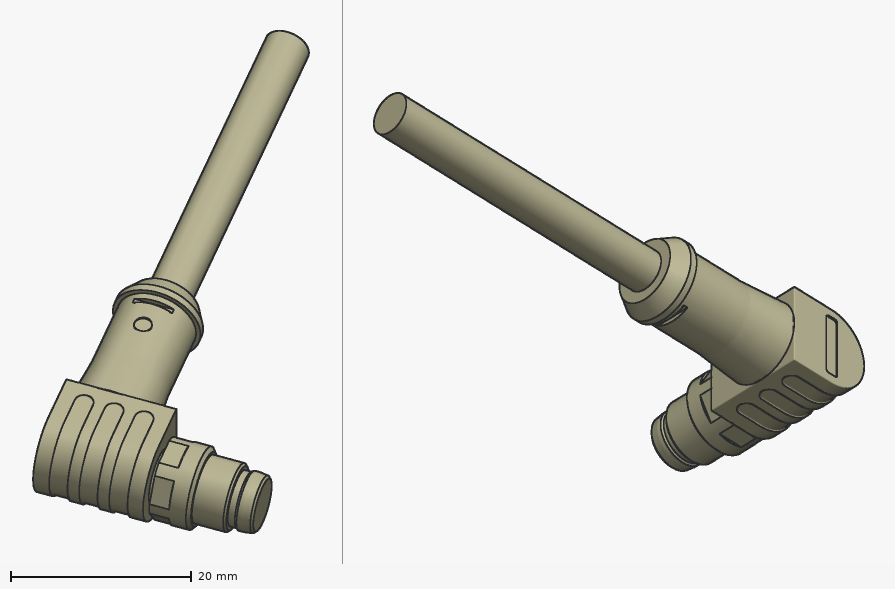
import cadquery as cq
import math


head_diameter = 10.3
head_radius = head_diameter / 2
head_right = 7.8
head_back = 5.9
head_edge_round = 0.15
parting_half_width = 0.15
head_length = head_right + head_radius

grip_depth = 0.2
grip_floor_round = 0.17
floor_edge_margin = grip_depth / 4
grip_width = 2.15
grip_pitch = 3.5
grip_count = 3
grip_first = -2.15
grip_end = 4.4

label_width = 1.7
label_height = 8.05
label_corner = 0.35
label_depth = 0.2

sleeve_radius = 4.65
flare_end = 12.35
collar_start = 21.2
collar_end = 22.1
cap_end = 24.2
cap_diameter = 8.0
cap_radius = cap_diameter / 2
cable_radius = 2.55
overall_length = 69.3
cable_end = overall_length - head_radius

notch_start = 19.8
notch_length = 0.55
notch_flat_height = 4.0
dimple_y = 16.7
dimple_diameter = 2.0
dimple_depth = 0.2

neck_radius = 3.25
nut_start = 8.45
nut_diameter = 9.6
nut_radius = nut_diameter / 2
nut_chamfer_start = 12.75
nut_end = 13.2
nut_end_radius = 4.3
flats_end = 10.75
across_flats = 9.0
flat_count = 6
flat_turn = 180 / flat_count
body_diameter = 8.0
body_radius = body_diameter / 2
body_end = 17.1
body_chamfer = 0.3
ring_start = 17.95
ring_radius = 3.45
ring_lead = 0.3
ring_end = 18.8
overall_width = 25.2
tip_end = overall_width - head_radius
tip_radius = 3.3
tip_chamfer = 0.3


def nose_profile(radius, flat_half_width=0):
    """Side outline of the head; a narrow flat may mark the mould parting at the nose tip."""
    diagonal = radius * math.sqrt(0.5)
    tip = -math.sqrt(radius**2 - flat_half_width**2)
    outline = (
        cq.Workplane("YZ")
        .moveTo(head_back, radius)
        .lineTo(0, radius)
        .threePointArc((-diagonal, diagonal), (tip, flat_half_width))
    )
    if flat_half_width > 0:
        outline = outline.lineTo(tip, -flat_half_width)
    return (
        outline
        .threePointArc((-diagonal, -diagonal), (0, -radius))
        .lineTo(head_back, -radius)
        .close()
    )


def grip_cutter():
    """Round-ended slots along Y, kept only in the outer skin of the head, with rounded floors."""
    slots = cq.Workplane("XY").workplane(offset=-head_radius)
    slot_start = -2 * head_radius
    slot_length = grip_end - slot_start
    for index in range(grip_count):
        x = grip_first + index * grip_pitch
        slots = slots.moveTo(x, slot_start + slot_length / 2).slot2D(slot_length, grip_width, 90)
    slots = slots.extrude(2 * head_radius)
    core = nose_profile(head_radius - grip_depth).extrude(2 * head_length, both=True)
    slots = slots.cut(core)

    floor_shell = nose_profile(head_radius - grip_depth + floor_edge_margin)
    near_floor = floor_shell.extrude(2 * head_length, both=True).val()
    floor_edges = [edge for edge in slots.edges().vals() if near_floor.isInside(edge.positionAt(0.5))]
    return slots.newObject(floor_edges).fillet(grip_floor_round)


def make_head():
    head = nose_profile(head_radius, parting_half_width).extrude(head_length)
    head = head.translate((-head_radius, 0, 0))
    head = head.faces("<X or >Y").edges("not >X").fillet(head_edge_round)
    label = (
        cq.Workplane("XY")
        .box(2 * label_depth, label_width, label_height)
        .edges("|X")
        .fillet(label_corner)
        .translate((-head_radius, 0, 0))
    )
    return head.cut(grip_cutter()).cut(label)


def make_sleeve():
    """Flared sleeve, collar with a conical cap, and cable, turned about Y."""
    sleeve = (
        cq.Workplane("XY")
        .lineTo(head_radius, 0)
        .lineTo(head_radius, head_back)
        .lineTo(sleeve_radius, flare_end)
        .lineTo(sleeve_radius, collar_start)
        .lineTo(head_radius, collar_start)
        .lineTo(head_radius, collar_end)
        .lineTo(cap_radius, cap_end)
        .lineTo(cable_radius, cap_end)
        .lineTo(cable_radius, cable_end)
        .lineTo(0, cable_end)
        .close()
        .revolve(360, (0, 0), (0, 1))
    )
    behind_head = cq.Workplane("XY").box(
        4 * head_radius, cable_end, 4 * head_radius, centered=(True, False, True)
    ).translate((0, head_back, 0))
    sleeve = sleeve.intersect(behind_head)

    notch = cq.Workplane("XY").box(
        2 * sleeve_radius, notch_length, sleeve_radius, centered=(True, False, False)
    )
    sleeve = sleeve.cut(notch.translate((0, notch_start, notch_flat_height)))
    sleeve = sleeve.cut(notch.translate((0, notch_start, -notch_flat_height - sleeve_radius)))

    dimple = (
        cq.Workplane("XY")
        .workplane(offset=sleeve_radius - dimple_depth)
        .center(0, dimple_y)
        .circle(dimple_diameter / 2)
        .extrude(2 * dimple_depth)
    )
    return sleeve.cut(dimple)


def make_connector():
    """Neck, coupling nut with six wrench flats, body and retaining ring, turned about X."""
    connector = (
        cq.Workplane("XY")
        .lineTo(0, neck_radius)
        .lineTo(nut_start, neck_radius)
        .lineTo(nut_start, nut_radius)
        .lineTo(nut_chamfer_start, nut_radius)
        .lineTo(nut_end, nut_end_radius)
        .lineTo(nut_end, body_radius)
        .lineTo(body_end - body_chamfer, body_radius)
        .lineTo(body_end, body_radius - body_chamfer)
        .lineTo(body_end, neck_radius)
        .lineTo(ring_start, neck_radius)
        .lineTo(ring_start + ring_lead, ring_radius)
        .lineTo(ring_end, ring_radius)
        .lineTo(tip_end - tip_chamfer, tip_radius)
        .lineTo(tip_end, tip_radius - tip_chamfer)
        .lineTo(tip_end, 0)
        .close()
        .revolve(360, (0, 0), (1, 0))
    )
    flats = (
        cq.Workplane("YZ")
        .workplane(offset=nut_start)
        .circle(2 * nut_radius)
        .transformed(rotate=(0, 0, flat_turn))
        .polygon(flat_count, across_flats, circumscribed=True)
        .extrude(flats_end - nut_start)
    )
    return connector.cut(flats)


result = make_head().union(make_sleeve()).union(make_connector())